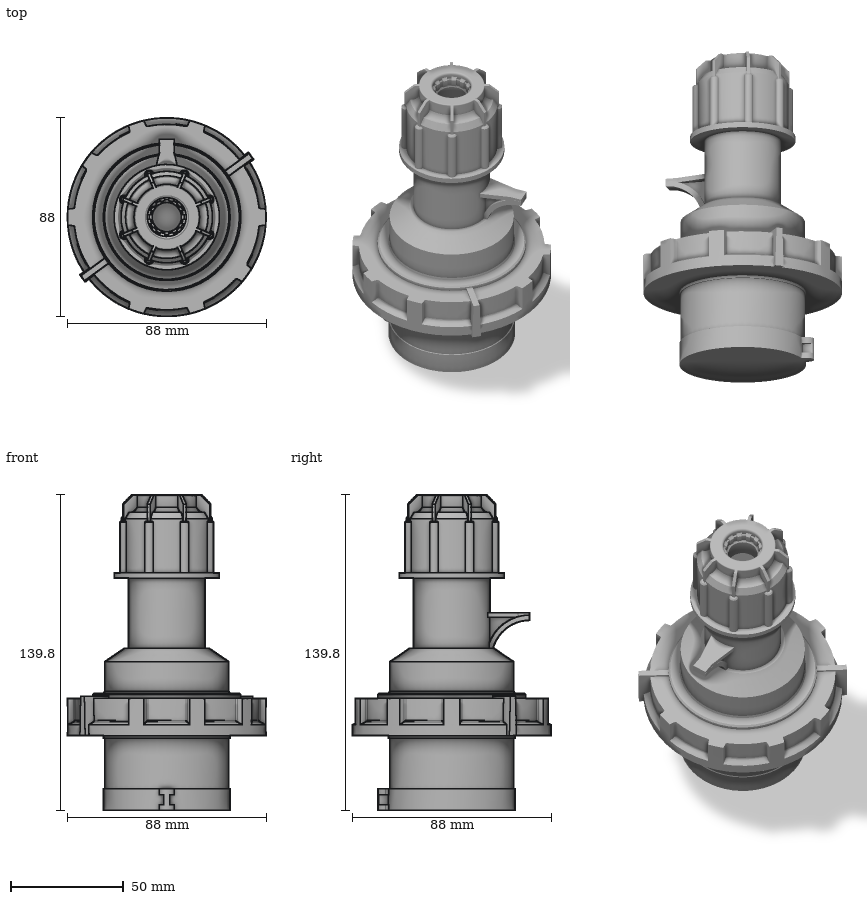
import cadquery as cq
import math

TOTAL_HEIGHT = 139.8
RING_BOTTOM = 33.1
RING_TOP = 49.6
COLLAR_TOP = 51.8
CONE_BOTTOM = 65.8
CONE_TOP = 71.8
NUT_BOTTOM = 102.9
NECK_TOP = 125.8

BARREL_RADIUS = 27.5
BAND_RADIUS = 28.1
BAND_HEIGHT = 9.6
SHOULDER_BOTTOM = 32.0
KEY_WIDTH = 6.4
KEY_NOSE_CENTRE = 29.5
KEY_WAIST_WIDTH = 2.8
KEY_EMBED = 1.4
KEY_WAIST_BOTTOM = 2.5
KEY_WAIST_TOP = 6.8

CONE_TOP_RADIUS = 18.7
NECK_RADIUS = 34.0 / 2
FLARE_HEIGHT = 0.8
HOOK_REACH = 34.5
HOOK_TOP = 87.6
HOOK_PLATE_THICKNESS = 2.1
HOOK_TIP_BOTTOM = 84.1
HOOK_ARC_RADIUS = 16.8
HOOK_STRIP_THICKNESS = 2.4
HOOK_STRIP_WIDTH = 6.5
HOOK_WIDTH = 6.4
HOOK_TAPER_START = 29.2
HOOK_ROOT_Y = 16.0
HOOK_ROOT_WIDTH = 12.2
HOOK_WEB_WIDTH = 2.8

RING_RADIUS = 44.0
COLLAR_RADIUS = 65.7 / 2
COLLAR_CHAMFER = 0.7
POCKET_COUNT = 10
POCKET_FLOOR_RADIUS = 41.1
POCKET_FLOOR_BOTTOM = 39.4
POCKET_FLOOR_WIDTH = 17.9
POCKET_MOUTH_BOTTOM = 37.9
POCKET_MOUTH_WIDTH = 20.4
POCKET_EDGE_ROUND = 0.7
GRIP_ANGLES = (36, 216)
GRIP_REACH = 46.1
GRIP_INNER_RADIUS = 31.5
GRIP_TOP = 50.6
GRIP_TOP_WIDTH = 2.8
GRIP_BASE_WIDTH = 3.9

NUT_FLANGE_RADIUS = 23.3
NUT_FLANGE_TOP = 105.2
NUT_BODY_RADIUS = 20.3
NUT_BODY_TOP = 129.1
NUT_SHOULDER_RADIUS = 18.3
NUT_COVE_RADIUS = 17.9
NUT_SHOULDER_TOP = 132.0
NUT_RIM_RADIUS = 14.5
NUT_RIM_BOTTOM = 134.2
NUT_EDGE_ROUND = 0.4
BORE_RADIUS = 17.2 / 2
BORE_ENTRY_ROUND = 1.0
LOBE_COUNT = 8
LOBE_RADIUS = 2.0
LOBE_CENTRE_RADIUS = 20.4
LOBE_TOP = 128.2
LOBE_CHAMFER = 0.5
FIN_THICKNESS = 1.4
FIN_RADIUS = 20.8
FIN_INNER_RADIUS = 10.5
FIN_TOP_RADIUS = 16.5
FIN_CORNER_HEIGHT = 135.7

CLAMP_BOTTOM = 131.1
CLAMP_LEDGE = 133.5
CLAMP_LIP = 136.7
CLAMP_TOP = 137.7
CLAMP_RADIUS = 7.3
CABLE_RADIUS = 13.0 / 2
SLOT_COUNT = 12
SLOT_WIDTH = 2.0
SLOT_RADIUS = 15.5 / 2


def cylinder(radius, bottom, top):
    """Upright cylinder on the Z axis."""
    return cq.Workplane("XY").workplane(offset=bottom).circle(radius).extrude(top - bottom)


def spun(shape, angle):
    """Copy of the shape turned about the Z axis."""
    return shape.rotate((0, 0, 0), (0, 0, 1), angle)


def make_shroud():
    """Front barrel with an end band, a shoulder under the ring and a locating key."""
    barrel = cylinder(BARREL_RADIUS, 0, RING_BOTTOM)
    band = cylinder(BAND_RADIUS, 0, BAND_HEIGHT)
    shoulder = cylinder(BAND_RADIUS, SHOULDER_BOTTOM, RING_BOTTOM)
    return barrel.union(band).union(shoulder).union(make_key())


def make_key():
    """Round-nosed key on the -Y side, waisted at mid height."""
    half_width = KEY_WIDTH / 2
    key = (
        cq.Workplane("XY")
        .moveTo(-half_width, -BARREL_RADIUS + KEY_EMBED)
        .lineTo(-half_width, -KEY_NOSE_CENTRE)
        .threePointArc((0, -KEY_NOSE_CENTRE - half_width), (half_width, -KEY_NOSE_CENTRE))
        .lineTo(half_width, -BARREL_RADIUS + KEY_EMBED)
        .close()
        .extrude(BAND_HEIGHT)
    )
    waist_height = KEY_WAIST_TOP - KEY_WAIST_BOTTOM
    for side in (-1, 1):
        notch = cq.Workplane("XY").box(KEY_WIDTH, KEY_WIDTH * 2, waist_height).translate((
            side * (KEY_WAIST_WIDTH + KEY_WIDTH) / 2,
            -KEY_NOSE_CENTRE,
            KEY_WAIST_BOTTOM + waist_height / 2,
        ))
        key = key.cut(notch)
    return key


def make_housing():
    """Rear shell: barrel, cone and neck turned as one, with a hook on the +Y side."""
    shell = (
        cq.Workplane("XZ")
        .moveTo(0, RING_BOTTOM)
        .lineTo(BAND_RADIUS, RING_BOTTOM)
        .lineTo(BAND_RADIUS, COLLAR_TOP)
        .lineTo(BARREL_RADIUS, COLLAR_TOP + FLARE_HEIGHT)
        .lineTo(BARREL_RADIUS, CONE_BOTTOM)
        .lineTo(CONE_TOP_RADIUS, CONE_TOP)
        .lineTo(NECK_RADIUS, CONE_TOP)
        .lineTo(NECK_RADIUS, NECK_TOP)
        .lineTo(0, NECK_TOP)
        .close()
        .revolve(360, (0, 0, 0), (0, 1, 0))
    )
    return shell.union(make_hook())


def make_hook():
    """Hook: a flaring top plate on a curved strip, joined by a thin web."""
    plate = (
        cq.Workplane("XY")
        .workplane(offset=HOOK_TOP - HOOK_PLATE_THICKNESS)
        .polyline([
            (-HOOK_WIDTH / 2, HOOK_REACH),
            (HOOK_WIDTH / 2, HOOK_REACH),
            (HOOK_WIDTH / 2, HOOK_TAPER_START),
            (HOOK_ROOT_WIDTH / 2, HOOK_ROOT_Y),
            (-HOOK_ROOT_WIDTH / 2, HOOK_ROOT_Y),
            (-HOOK_WIDTH / 2, HOOK_TAPER_START),
        ])
        .close()
        .extrude(HOOK_PLATE_THICKNESS)
    )
    strip = hook_slab(HOOK_STRIP_WIDTH).intersect(hook_arc(HOOK_ARC_RADIUS + HOOK_STRIP_THICKNESS))
    web = hook_slab(HOOK_WEB_WIDTH)
    return plate.union(strip.union(web).cut(hook_arc(HOOK_ARC_RADIUS)))


def hook_slab(width):
    """Block of the given width filling the hook's reach and height."""
    length = HOOK_REACH - HOOK_ROOT_Y
    height = HOOK_TOP - CONE_TOP
    slab = cq.Workplane("XY").box(width, length, height, centered=(True, False, False))
    return slab.translate((0, HOOK_ROOT_Y, CONE_TOP))


def hook_arc(radius):
    """Cylinder across the hook, centred straight below its tip."""
    return (
        cq.Workplane("YZ")
        .center(HOOK_REACH, HOOK_TIP_BOTTOM - HOOK_ARC_RADIUS)
        .circle(radius)
        .extrude(HOOK_WIDTH, both=True)
    )


def chord_distance(radius, width):
    """Distance from the axis to a chord of the given width."""
    return math.sqrt(radius ** 2 - (width / 2) ** 2)


def make_pocket():
    """Cutter for one finger pocket facing +X: round floor, sides and bottom spreading outwards."""
    bottom_step = POCKET_FLOOR_BOTTOM - POCKET_MOUTH_BOTTOM
    outer_radius = 2 * RING_RADIUS - POCKET_FLOOR_RADIUS
    sweep = (
        cq.Workplane("XZ")
        .moveTo(POCKET_FLOOR_RADIUS, POCKET_FLOOR_BOTTOM)
        .lineTo(outer_radius, POCKET_FLOOR_BOTTOM - 2 * bottom_step)
        .lineTo(outer_radius, COLLAR_TOP)
        .lineTo(POCKET_FLOOR_RADIUS, COLLAR_TOP)
        .close()
        .revolve(360, (0, 0, 0), (0, 1, 0))
    )
    floor_x = chord_distance(POCKET_FLOOR_RADIUS, POCKET_FLOOR_WIDTH)
    mouth_x = chord_distance(RING_RADIUS, POCKET_MOUTH_WIDTH)
    spread = (POCKET_MOUTH_WIDTH - POCKET_FLOOR_WIDTH) / 2 / (mouth_x - floor_x)
    floor_half = POCKET_FLOOR_WIDTH / 2
    outer_half = floor_half + spread * (outer_radius - floor_x)
    sides = (
        cq.Workplane("XY")
        .workplane(offset=RING_BOTTOM)
        .polyline([
            (floor_x, -floor_half),
            (outer_radius, -outer_half),
            (outer_radius, outer_half),
            (floor_x, floor_half),
        ])
        .close()
        .extrude(COLLAR_TOP - RING_BOTTOM)
    )
    pocket = sweep.intersect(sides)
    return pocket.faces("<X").edges("not >Z").fillet(POCKET_EDGE_ROUND)


def make_grip():
    """Radial grip bar along +X, narrowing towards its top."""
    length = GRIP_REACH - GRIP_INNER_RADIUS
    middle = GRIP_REACH - length / 2
    return (
        cq.Workplane("XY")
        .workplane(offset=RING_BOTTOM)
        .center(middle, 0)
        .rect(length, GRIP_BASE_WIDTH)
        .workplane(offset=GRIP_TOP - RING_BOTTOM)
        .rect(length, GRIP_TOP_WIDTH)
        .loft(ruled=True)
    )


def make_ring():
    """Coupling ring with a raised collar, finger pockets, and two grip bars standing in place of ribs."""
    collar = cylinder(COLLAR_RADIUS, RING_TOP, COLLAR_TOP).faces(">Z").chamfer(COLLAR_CHAMFER)
    ring = cylinder(RING_RADIUS, RING_BOTTOM, RING_TOP)
    pocket = make_pocket()
    pitch = 360 / POCKET_COUNT
    for index in range(POCKET_COUNT):
        ring = ring.cut(spun(pocket, (index + 0.5) * pitch))
    grip = make_grip()
    for angle in GRIP_ANGLES:
        ring = ring.cut(spun(pocket, angle))
        ring = ring.union(spun(grip, angle))
    return ring.union(collar).cut(cylinder(BAND_RADIUS, RING_BOTTOM, COLLAR_TOP))


def make_nut_fins():
    """Radial fins of the gland nut, sloped at the top, each above a round lobe."""
    fin = (
        cq.Workplane("XZ")
        .moveTo(FIN_INNER_RADIUS, NUT_FLANGE_TOP)
        .lineTo(FIN_RADIUS, NUT_FLANGE_TOP)
        .lineTo(FIN_RADIUS, FIN_CORNER_HEIGHT)
        .lineTo(FIN_TOP_RADIUS, TOTAL_HEIGHT)
        .lineTo(FIN_INNER_RADIUS, TOTAL_HEIGHT)
        .close()
        .extrude(FIN_THICKNESS / 2, both=True)
    )
    lobe = cylinder(LOBE_RADIUS, NUT_FLANGE_TOP, LOBE_TOP).faces(">Z").chamfer(LOBE_CHAMFER)
    return fin.union(lobe.translate((LOBE_CENTRE_RADIUS, 0, 0)))


def make_nut():
    """Gland nut: stepped round body with a foot flange, finned lobes and a cable entry."""
    cove_height = NUT_RIM_BOTTOM - NUT_SHOULDER_TOP
    cove_width = NUT_COVE_RADIUS - NUT_RIM_RADIUS
    cove_arc = (cove_width ** 2 + cove_height ** 2) / (2 * cove_height)
    nut = (
        cq.Workplane("XZ")
        .moveTo(0, NUT_BOTTOM)
        .lineTo(NUT_FLANGE_RADIUS, NUT_BOTTOM)
        .lineTo(NUT_FLANGE_RADIUS, NUT_FLANGE_TOP)
        .lineTo(NUT_BODY_RADIUS, NUT_FLANGE_TOP)
        .lineTo(NUT_BODY_RADIUS, NUT_BODY_TOP)
        .lineTo(NUT_SHOULDER_RADIUS, NUT_SHOULDER_TOP)
        .lineTo(NUT_COVE_RADIUS, NUT_SHOULDER_TOP)
        .radiusArc((NUT_RIM_RADIUS, NUT_RIM_BOTTOM), cove_arc)
        .lineTo(NUT_RIM_RADIUS, TOTAL_HEIGHT)
        .lineTo(0, TOTAL_HEIGHT)
        .close()
        .revolve(360, (0, 0, 0), (0, 1, 0))
        .faces(">Z")
        .edges()
        .fillet(NUT_EDGE_ROUND)
    )
    rib = make_nut_fins()
    pitch = 360 / LOBE_COUNT
    for index in range(LOBE_COUNT):
        nut = nut.union(spun(rib, (index + 0.5) * pitch))
    nut = nut.cut(cylinder(NECK_RADIUS, NUT_BOTTOM, NECK_TOP))
    nut = nut.cut(cylinder(BORE_RADIUS, NECK_TOP, TOTAL_HEIGHT))
    entry_edge = cq.selectors.RadiusNthSelector(0)
    return nut.faces(">Z").edges(entry_edge).fillet(BORE_ENTRY_ROUND)


def clamp_slot(reach, bottom):
    """Slot cutter running out along +X from the axis to the given reach."""
    height = CLAMP_TOP - bottom
    slot = cq.Workplane("XY").box(reach, SLOT_WIDTH, height, centered=(False, True, False))
    return slot.translate((0, 0, bottom))


def make_clamp():
    """Cable clamp: a sleeve whose bevelled inner wall is divided into fingers by slots."""
    clamp = (
        cq.Workplane("XZ")
        .moveTo(CABLE_RADIUS, CLAMP_BOTTOM)
        .lineTo(BORE_RADIUS, CLAMP_BOTTOM)
        .lineTo(BORE_RADIUS, CLAMP_TOP)
        .lineTo(CLAMP_RADIUS, CLAMP_LIP)
        .lineTo(CLAMP_RADIUS, CLAMP_LEDGE)
        .lineTo(CABLE_RADIUS, CLAMP_LEDGE)
        .close()
        .revolve(360, (0, 0, 0), (0, 1, 0))
    )
    lower_slot = clamp_slot(SLOT_RADIUS, CLAMP_LEDGE)
    upper_slot = clamp_slot(2 * BORE_RADIUS, CLAMP_LIP)
    slot = lower_slot.union(upper_slot)
    pitch = 360 / SLOT_COUNT
    for index in range(SLOT_COUNT):
        clamp = clamp.cut(spun(slot, index * pitch))
    return clamp


def make_seal():
    """Sealing sleeve between the end of the neck and the clamp."""
    return cylinder(BORE_RADIUS, NECK_TOP, CLAMP_BOTTOM).cut(
        cylinder(CABLE_RADIUS, NECK_TOP, CLAMP_BOTTOM)
    )


shroud = make_shroud()
housing = make_housing()
ring = make_ring()
nut = make_nut()
clamp = make_clamp()
seal = make_seal()

result = cq.Compound.makeCompound([
    shroud.val(),
    housing.val(),
    ring.val(),
    nut.val(),
    clamp.val(),
    seal.val(),
])